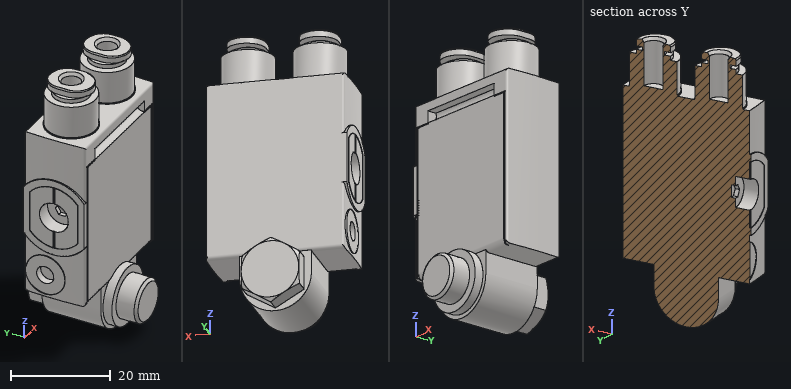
import cadquery as cq
import math


body_depth = 14.0
body_half_width = 14.66
side_bulge = 0.25
body_bottom = 4.56
body_top = 42.04
edge_radius = 0.5
bottom_edge_radius = 0.8
front_y = -body_depth / 2

panel_half_width = 13.4
panel_gap_half_width = 13.8
panel_top = 37.13
panel_gap_depth = 0.2
panel_top_gap = 0.15
panel_bottom_radius = 1.3
scoop_width = 20.7
scoop_top = 39.86
scoop_axis_z = 39.2
scoop_inset = 0.3
scoop_radius = math.hypot(scoop_axis_z - panel_top - panel_top_gap, scoop_inset)

coil_face_x = -14.95
coil_z = 23.87
coil_diameter = 17.5
insert_length = 14.2
insert_width = 11.0
insert_recess = 0.1
coil_slot_width = 0.4
coil_slot_depth = 0.2
coil_bore_diameter = 6.6
coil_bore_depth = 3.5
socket_across_flats = 2.6
socket_depth = 1.0

button_face_x = -14.8
button_y = 2.02
button_z = 9.7
button_diameter = 9.0
button_hole_diameter = 3.9
button_hole_depth = 1.7
pad_root_x = -panel_gap_half_width

fitting_spacing = 15.06
fitting_diameter = 11.05
base_ring_diameter = 11.35
base_ring_height = 0.2
fitting_top = 49.45
flange_diameter = 8.0
flange_top = 50.36
neck_diameter = 5.2
release_bottom = 51.0
release_top = 52.8
release_crown_drop = 0.3
release_edge_rise = 0.25
release_edge_inset = 0.25
release_length = 10.0
release_width = 8.0
tube_bore_diameter = 4.2
tube_mouth_diameter = 5.2
tube_mouth_depth = 0.7
tube_bore_depth = 10.0

banjo_radius = 7.5
banjo_half_depth = 6.75
collar_diameter = 13.21
collar_y = -8.79
spigot_diameter = 9.73
spigot_y = -13.51
spigot_chamfer = 0.6
nut_across_flats = 12.0
nut_y = 10.9
nut_chamfer_height = 0.55


def cylinder_y(diameter, y_start, y_end):
    """Cylinder on the banjo bolt axis between two Y stations."""
    plane = cq.Workplane("XZ", origin=(0, y_start, 0))
    return plane.circle(diameter / 2).extrude(y_start - y_end)


def side_plane(x, y, z):
    """Workplane facing -X; its local x runs along -Y and its local y along Z."""
    return cq.Workplane(cq.Plane(origin=(x, y, z), xDir=(0, -1, 0), normal=(-1, 0, 0)))


def box_between(x_range, y_range, z_range):
    """Box spanning the given (low, high) ranges."""
    size = [high - low for low, high in (x_range, y_range, z_range)]
    corner = (x_range[0], y_range[0], z_range[0])
    return cq.Workplane("XY").box(*size, centered=False).translate(corner)


def make_body():
    """Body with bulged sides, rounded corners and rounded front and back edges."""
    half_depth = body_depth / 2
    corner_x = body_half_width - side_bulge
    plan = (
        cq.Workplane("XY", origin=(0, 0, body_bottom))
        .moveTo(-corner_x, -half_depth)
        .lineTo(corner_x, -half_depth)
        .threePointArc((body_half_width, 0), (corner_x, half_depth))
        .lineTo(-corner_x, half_depth)
        .threePointArc((-body_half_width, 0), (-corner_x, -half_depth))
        .close()
        .extrude(body_top - body_bottom)
    )
    plan = plan.edges("|Z").fillet(edge_radius)
    profile = box_between(
        (-body_half_width, body_half_width),
        (-half_depth, half_depth),
        (body_bottom, body_top),
    )
    profile = profile.edges("|X and >Z").fillet(edge_radius)
    profile = profile.edges("|X and <Z").fillet(bottom_edge_radius)
    return plan.intersect(profile)


def cut_panel_outline(body):
    """Cut the gap around the front panel and round the panel's lower edge."""
    gap_y = (front_y, front_y + panel_gap_depth)
    gap_top = panel_top + panel_top_gap
    for side in (-1, 1):
        side_gap = sorted((side * panel_half_width, side * panel_gap_half_width))
        body = body.cut(box_between(side_gap, gap_y, (body_bottom, gap_top)))
        top_gap = sorted((side * scoop_width / 2, side * panel_half_width))
        body = body.cut(box_between(top_gap, gap_y, (panel_top, gap_top)))

    radius = panel_bottom_radius
    arc_offset = radius * (1 - math.sqrt(0.5))
    rounding = (
        cq.Workplane("YZ", origin=(-panel_half_width, 0, 0))
        .moveTo(front_y, body_bottom + radius)
        .threePointArc(
            (front_y + arc_offset, body_bottom + arc_offset),
            (front_y + radius, body_bottom),
        )
        .lineTo(front_y, body_bottom)
        .close()
        .extrude(2 * panel_half_width)
    )
    return body.cut(rounding)


def make_scoop():
    """Finger scoop: a round trough along X below a flat ceiling, open to the front."""
    axis_y = front_y + scoop_inset
    half_width = scoop_width / 2
    barrel = (
        cq.Workplane("YZ", origin=(-half_width, axis_y, scoop_axis_z))
        .circle(scoop_radius)
        .extrude(scoop_width)
    )
    limit = box_between(
        (-half_width, half_width),
        (front_y, axis_y + scoop_radius),
        (scoop_axis_z - scoop_radius, scoop_top),
    )
    return barrel.intersect(limit)


def add_coil_face(body):
    """Add the raised coil pad with its slotted insert, bore and hex socket."""
    pad = side_plane(pad_root_x, 0, coil_z).circle(coil_diameter / 2).extrude(pad_root_x - coil_face_x)
    pad_limit = box_between(
        (coil_face_x, pad_root_x),
        (front_y, -front_y),
        (body_bottom, body_top),
    )
    body = body.union(pad.intersect(pad_limit))

    face = side_plane(coil_face_x, 0, coil_z)
    insert = face.circle(insert_length / 2).extrude(-insert_recess)
    insert_limit = face.rect(insert_width, insert_length).extrude(-insert_recess)
    slot = face.rect(coil_slot_width, insert_length).extrude(-insert_recess - coil_slot_depth)
    bore = face.circle(coil_bore_diameter / 2).extrude(-coil_bore_depth)
    socket_corners = socket_across_flats / math.cos(math.pi / 6)
    socket = face.polygon(6, socket_corners).extrude(-coil_bore_depth - socket_depth)
    return body.cut(insert.intersect(insert_limit)).cut(slot).cut(bore).cut(socket)


def add_button(body):
    """Add the raised override button with its blind hole."""
    pad = side_plane(pad_root_x, button_y, button_z).circle(button_diameter / 2)
    face = side_plane(button_face_x, button_y, button_z)
    hole = face.circle(button_hole_diameter / 2).extrude(-button_hole_depth)
    return body.union(pad.extrude(pad_root_x - button_face_x)).cut(hole)


def make_fitting():
    """Push-in fitting on the Z axis, with its oblong release button on top."""
    def disc(diameter, z_low, z_high):
        return cq.Workplane("XY", origin=(0, 0, z_low)).circle(diameter / 2).extrude(z_high - z_low)

    fitting = disc(base_ring_diameter, body_top - edge_radius, body_top + base_ring_height)
    fitting = fitting.union(disc(fitting_diameter, body_top, fitting_top))
    fitting = fitting.union(disc(flange_diameter, fitting_top, flange_top))
    fitting = fitting.union(disc(neck_diameter, flange_top, release_bottom))

    button = (
        cq.Workplane("XY", origin=(0, 0, release_bottom))
        .slot2D(release_length, release_width, 90)
        .extrude(release_top - release_bottom)
    )
    button = button.faces(">Z").chamfer(release_crown_drop + release_edge_rise, release_edge_inset)
    cone = (
        cq.Workplane("XZ")
        .moveTo(0, release_bottom)
        .lineTo(release_length / 2, release_bottom)
        .lineTo(release_length / 2, release_top - release_crown_drop)
        .lineTo(tube_mouth_diameter / 2, release_top)
        .lineTo(0, release_top)
        .close()
        .revolve(360, (0, 0, 0), (0, 1, 0))
    )
    fitting = fitting.union(button.intersect(cone))

    bore = disc(tube_bore_diameter, release_top - tube_bore_depth, release_top)
    mouth_radius = tube_mouth_diameter / 2
    bore_radius = tube_bore_diameter / 2
    mouth = (
        cq.Workplane("XZ")
        .moveTo(0, release_top)
        .lineTo(mouth_radius, release_top)
        .lineTo(bore_radius, release_top - tube_mouth_depth)
        .lineTo(0, release_top - tube_mouth_depth)
        .close()
        .revolve(360, (0, 0, 0), (0, 1, 0))
    )
    return fitting.cut(bore).cut(mouth)


def make_banjo_block():
    """Round eye around the bolt, with a square-shouldered web up to the body."""
    eye = cylinder_y(2 * banjo_radius, banjo_half_depth, -banjo_half_depth)
    web = box_between(
        (-banjo_radius, banjo_radius),
        (-banjo_half_depth, banjo_half_depth),
        (0, body_bottom + panel_bottom_radius),
    )
    return eye.union(web)


def make_bolt():
    """Collar and spigot at the front, hexagon nut at the back."""
    collar = cylinder_y(collar_diameter, -banjo_half_depth, collar_y)
    spigot = cylinder_y(spigot_diameter, collar_y, spigot_y).faces("<Y").chamfer(spigot_chamfer)

    nut_corners = nut_across_flats / math.cos(math.pi / 6)
    nut = (
        cq.Workplane("XZ", origin=(0, nut_y, 0))
        .transformed(rotate=(0, 0, 90))
        .polygon(6, nut_corners)
        .extrude(nut_y - banjo_half_depth)
    )
    corner_trim = (nut_corners - nut_across_flats) / 2
    envelope = cylinder_y(nut_corners, nut_y, banjo_half_depth)
    envelope = envelope.faces(">Y").chamfer(nut_chamfer_height, corner_trim)
    return collar.union(spigot).union(nut.intersect(envelope))


body = cut_panel_outline(make_body())
body = body.cut(make_scoop())
body = add_coil_face(body)
body = add_button(body)
for side in (-1, 1):
    body = body.union(make_fitting().translate((side * fitting_spacing / 2, 0, 0)))
result = body.union(make_banjo_block()).union(make_bolt())